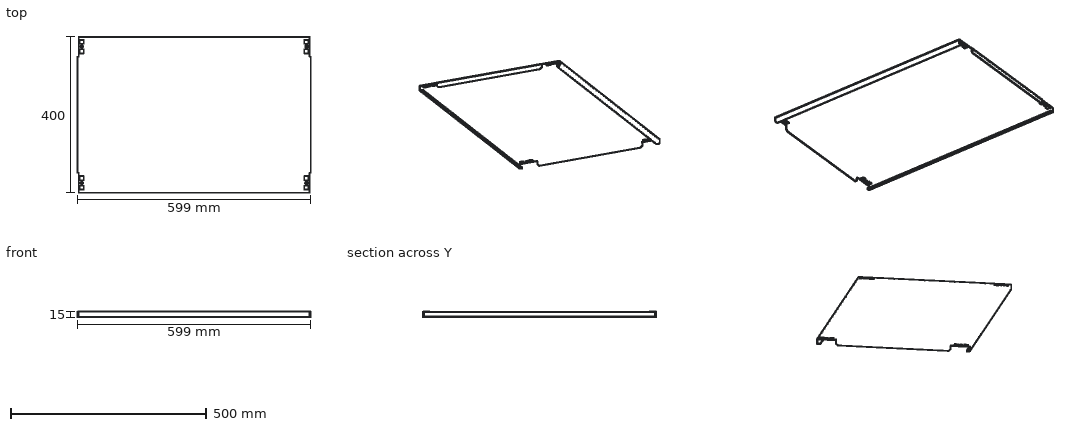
import cadquery as cq

OVERALL_LENGTH = 599.0
OVERALL_WIDTH = 400.0
HEIGHT = 15.0

THICKNESS = 2.5
INNER_RADIUS = 1.0
OUTER_RADIUS = INNER_RADIUS + THICKNESS

FOLD_LENGTH = 592.3
LIP_DEPTH = 9.5

FLANGE_LENGTH = 298.5
FLANGE_CHAMFER = 5.0

SQUARE_SIDE = 10.0
ROUND_DIAMETER = 6.0
HOLE_X = 288.0
ROUND_HOLE_Y = 175.0
SQUARE_OFFSET = 12.5

FLANGE_OUTER_X = OVERALL_LENGTH / 2
FLANGE_INNER_X = FLANGE_OUTER_X - THICKNESS
BEND_START_X = FLANGE_OUTER_X - OUTER_RADIUS


def rounded_bar(width, height, radius):
    """Bar along X, centred on the mid-height of the panel, with rounded long edges."""
    return (
        cq.Workplane("YZ")
        .center(0, -HEIGHT / 2)
        .rect(width, height)
        .extrude(FOLD_LENGTH / 2, both=True)
        .edges("|X")
        .fillet(radius)
    )


def sheet_with_folds():
    """Flat sheet with both long edges folded down and inward."""
    envelope = rounded_bar(OVERALL_WIDTH, HEIGHT, OUTER_RADIUS)
    cavity = rounded_bar(OVERALL_WIDTH - 2 * THICKNESS, HEIGHT - 2 * THICKNESS, INNER_RADIUS)
    lip_gap = (
        cq.Workplane("XY")
        .workplane(offset=-HEIGHT)
        .rect(FOLD_LENGTH, OVERALL_WIDTH - 2 * LIP_DEPTH)
        .extrude(HEIGHT / 2)
    )
    return envelope.cut(cavity).cut(lip_gap)


def flange(side):
    """Bend and chamfered flange on the short edge at the given side (-1 or +1) of X."""
    body = (
        cq.Workplane("XZ")
        .moveTo(BEND_START_X, 0)
        .radiusArc((FLANGE_OUTER_X, -OUTER_RADIUS), OUTER_RADIUS)
        .lineTo(FLANGE_OUTER_X, -HEIGHT)
        .lineTo(FLANGE_INNER_X, -HEIGHT)
        .lineTo(FLANGE_INNER_X, -OUTER_RADIUS)
        .radiusArc((BEND_START_X, -THICKNESS), -INNER_RADIUS)
        .close()
        .extrude(FLANGE_LENGTH / 2, both=True)
        .faces("<Z")
        .edges("|X")
        .chamfer(FLANGE_CHAMFER)
    )
    return body if side > 0 else body.mirror("YZ")


def bend_clearance(side):
    """Strip of flat sheet edge that gives way to the flange bend."""
    return (
        cq.Workplane("XY")
        .center(side * (BEND_START_X + OUTER_RADIUS / 2), 0)
        .rect(OUTER_RADIUS, FLANGE_LENGTH)
        .extrude(-THICKNESS)
    )


def corner_holes(x_side, y_side):
    """Two square holes with a round hole between them, through the flat sheet only."""
    centre = cq.Workplane("XY").center(x_side * HOLE_X, y_side * ROUND_HOLE_Y)
    squares = (
        centre
        .pushPoints([(0, -SQUARE_OFFSET), (0, SQUARE_OFFSET)])
        .rect(SQUARE_SIDE, SQUARE_SIDE)
        .extrude(-THICKNESS)
    )
    return squares.union(centre.circle(ROUND_DIAMETER / 2).extrude(-THICKNESS))


result = sheet_with_folds()
for x_side in (-1, 1):
    result = result.cut(bend_clearance(x_side)).union(flange(x_side))
    for y_side in (-1, 1):
        result = result.cut(corner_holes(x_side, y_side))